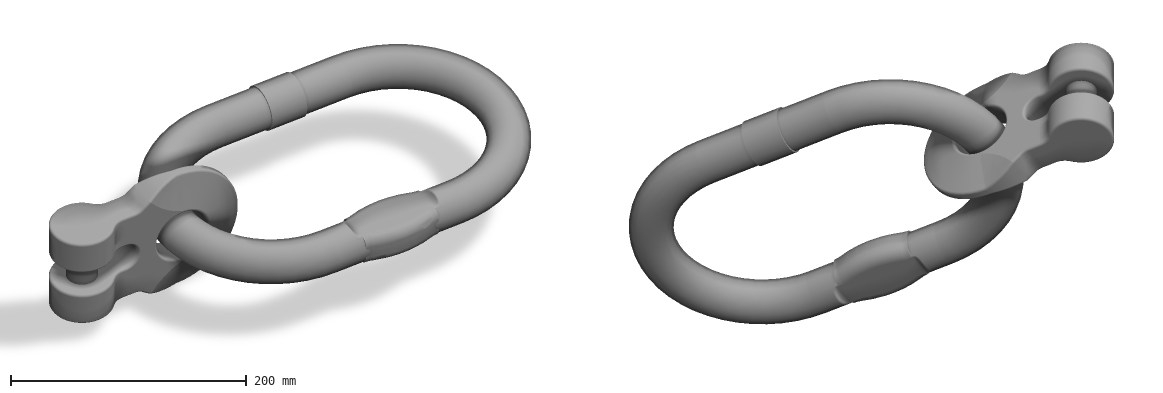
import cadquery as cq
import math

WIRE_DIAMETER = 38.0
WIRE_RADIUS = WIRE_DIAMETER / 2
BEND_RADIUS = 94.5
LEG_LENGTH = 125.0
SLEEVE_DIAMETER = 41.0
SLEEVE_LENGTH = 34.5

FLAT_THICKNESS = 29.5
FLAT_LENGTH = 83.5
FLAT_END_RADIUS = 4.5
FLAT_EDGE_RADIUS = 2.0
BULGE_WIDTH = 50.0
BULGE_LENGTH = 71.5
BULGE_OUTER_X = 119.0
BULGE_EDGE_RADIUS = 9.0
BULGE_BLEND_LENGTH = 5.5

PLATE_THICKNESS = 27.0
EYE_Y = -158.0
EYE_DIAMETER = 122.0
EYE_HOLE_DIAMETER = 50.0
TAPER_START_RADIUS = 27.5
RIM_THICKNESS = 8.0
RUNOUT_LENGTH = 37.0
RUNOUT_RADIUS = 70.3
FORK_HEIGHT = 89.0
FORK_SHOULDER_RADIUS = 12.0
FORK_GAP = 25.5
SLOT_END_Y = -201.5
HEAD_DIAMETER = 56.0
HEAD_FILLET_RADIUS = 15.0
EDGE_RADIUS = 2.3

PIN_Y = -249.5
PIN_DIAMETER = 27.0

TOLERANCE = 0.01


def make_ring():
    """Round wire swept around the closed oval centre line."""
    half_leg = LEG_LENGTH / 2
    path = (
        cq.Workplane("XY")
        .moveTo(BEND_RADIUS, -half_leg)
        .lineTo(BEND_RADIUS, half_leg)
        .threePointArc((0, half_leg + BEND_RADIUS), (-BEND_RADIUS, half_leg))
        .lineTo(-BEND_RADIUS, -half_leg)
        .threePointArc((0, -half_leg - BEND_RADIUS), (BEND_RADIUS, -half_leg))
        .close()
    )
    section = cq.Workplane("XZ", origin=(BEND_RADIUS, -half_leg, 0)).circle(WIRE_RADIUS)
    return section.sweep(path)


def make_sleeve():
    """Slightly thicker weld sleeve around the -X leg."""
    return (
        cq.Workplane("XZ", origin=(-BEND_RADIUS, SLEEVE_LENGTH / 2, 0))
        .circle(SLEEVE_DIAMETER / 2)
        .extrude(SLEEVE_LENGTH)
    )


def make_flat_cutter():
    """Blocks that press the +X leg flat above and below, with rounded floor ends."""
    block_height = WIRE_RADIUS
    block_width = 2 * WIRE_DIAMETER
    upper = (
        cq.Workplane("XY", origin=(BEND_RADIUS, 0, FLAT_THICKNESS / 2))
        .rect(block_width, FLAT_LENGTH)
        .extrude(block_height)
        .faces("<Z")
        .edges("|X")
        .fillet(FLAT_END_RADIUS)
    )
    return upper.union(upper.mirror("XY"))


def make_bulge():
    """Lens-shaped plate on the +X leg; concave arcs lead its sides back into the wire."""
    half_length = BULGE_LENGTH / 2
    side = BULGE_WIDTH / 2
    drop = side - WIRE_RADIUS
    radius_sum = (half_length**2 + drop**2) / (2 * drop)
    blend_radius = radius_sum * BULGE_BLEND_LENGTH / half_length
    arc_half_length = half_length - BULGE_BLEND_LENGTH
    arc_end_x = WIRE_RADIUS + drop * BULGE_BLEND_LENGTH / half_length
    return (
        cq.Workplane("XY", origin=(BULGE_OUTER_X - side, 0, -FLAT_THICKNESS / 2))
        .moveTo(WIRE_RADIUS, -half_length)
        .radiusArc((arc_end_x, -arc_half_length), blend_radius)
        .threePointArc((side, 0), (arc_end_x, arc_half_length))
        .radiusArc((WIRE_RADIUS, half_length), blend_radius)
        .lineTo(-WIRE_RADIUS, half_length)
        .radiusArc((-arc_end_x, arc_half_length), blend_radius)
        .threePointArc((-side, 0), (-arc_end_x, -arc_half_length))
        .radiusArc((-WIRE_RADIUS, -half_length), blend_radius)
        .close()
        .extrude(FLAT_THICKNESS)
        .faces("<Z or >Z")
        .edges("not(|X)")
        .fillet(BULGE_EDGE_RADIUS)
    )


def pressed_edges(wire):
    """Edges where the pressed flats and their end walls leave the round wire surface."""
    half_flat = FLAT_THICKNESS / 9
    chosen = []
    for edge in wire.edges().vals():
        center = edge.Center()
        on_flat = center.x > 0 and abs(center.y) < FLAT_LENGTH / 2 and abs(center.z) > half_flat - TOLERANCE
        across_floor = edge.geomType() == "LINE" and abs(edge.tangentAt(0).x) > 1 - TOLERANCE
        if on_flat and not across_floor:
            chosen.append(edge)
    return chosen


def make_link():
    """One solid: wire, weld sleeve, pressed flats and bulge."""
    wire = make_ring().union(make_sleeve()).cut(make_flat_cutter())
    wire = wire.newObject(pressed_edges(wire)).fillet(FLAT_EDGE_RADIUS)
    return wire.union(make_bulge())


def make_plate():
    """Side outline of eye and fork, extruded to the plate thickness."""
    eye_radius = EYE_DIAMETER / 2
    half_fork = FORK_HEIGHT / 2
    shoulder_z = half_fork + FORK_SHOULDER_RADIUS
    center_distance = eye_radius + FORK_SHOULDER_RADIUS
    shoulder_run = math.sqrt(center_distance**2 - shoulder_z**2)
    shoulder_y = EYE_Y - shoulder_run
    tangent_y = EYE_Y - shoulder_run * eye_radius / center_distance
    tangent_z = shoulder_z * eye_radius / center_distance
    turn = math.atan2(shoulder_run, shoulder_z) / 2
    middle_y = shoulder_y + FORK_SHOULDER_RADIUS * math.sin(turn)
    middle_z = shoulder_z - FORK_SHOULDER_RADIUS * math.cos(turn)
    return (
        cq.Workplane("YZ")
        .moveTo(PIN_Y, half_fork)
        .lineTo(shoulder_y, half_fork)
        .threePointArc((middle_y, middle_z), (tangent_y, tangent_z))
        .threePointArc((EYE_Y + eye_radius, 0), (tangent_y, -tangent_z))
        .threePointArc((middle_y, -middle_z), (shoulder_y, -half_fork))
        .lineTo(PIN_Y, -half_fork)
        .close()
        .extrude(PLATE_THICKNESS / 2, both=True)
    )


def make_taper_cutter():
    """Material removed on the +X side to thin the eye towards its rim."""
    half_plate = PLATE_THICKNESS / 2
    half_rim = RIM_THICKNESS / 2
    eye_radius = EYE_DIAMETER / 2
    run = eye_radius - TAPER_START_RADIUS
    drop = half_plate - half_rim
    over = 1.2
    cone = (
        cq.Workplane("XY", origin=(0, EYE_Y, 0))
        .moveTo(half_rim + over * drop, eye_radius - over * run)
        .lineTo(half_plate - over * drop, TAPER_START_RADIUS + over * run)
        .lineTo(half_rim + over * drop, TAPER_START_RADIUS + over * run)
        .close()
        .revolve(180, (0, 0, 0), (1, 0, 0))
        .rotate((0, EYE_Y, 0), (1, EYE_Y, 0), -90)
    )
    face_outline = (
        cq.Workplane("YZ", origin=(half_plate, EYE_Y, 0))
        .moveTo(0, TAPER_START_RADIUS)
        .radiusArc((-RUNOUT_LENGTH, eye_radius), RUNOUT_RADIUS)
        .lineTo(0, eye_radius)
        .close()
        .val()
    )
    rim_point = cq.Vertex.makeVertex(half_rim, EYE_Y, eye_radius)
    runout = cq.Workplane(obj=cq.occ_impl.shapes.loft(face_outline, rim_point, cap=True, ruled=True))
    return cone.union(runout).union(runout.mirror("XY"))


def make_heads():
    """Full-height round column for both fork heads, with concave fillets into the plate sides."""
    half_plate = PLATE_THICKNESS / 2
    head_radius = HEAD_DIAMETER / 2
    fillet_x = half_plate + HEAD_FILLET_RADIUS
    center_distance = head_radius + HEAD_FILLET_RADIUS
    fillet_run = math.sqrt(center_distance**2 - fillet_x**2)
    tangent_x = fillet_x * head_radius / center_distance
    tangent_y = fillet_run * head_radius / center_distance
    turn = math.atan2(fillet_run, fillet_x) / 2
    middle_x = fillet_x - HEAD_FILLET_RADIUS * math.cos(turn)
    middle_y = fillet_run - HEAD_FILLET_RADIUS * math.sin(turn)
    return (
        cq.Workplane("XY", origin=(0, PIN_Y, 0))
        .moveTo(half_plate, fillet_run)
        .threePointArc((middle_x, middle_y), (tangent_x, tangent_y))
        .threePointArc((0, -head_radius), (-tangent_x, tangent_y))
        .threePointArc((-middle_x, middle_y), (-half_plate, fillet_run))
        .close()
        .extrude(FORK_HEIGHT / 2, both=True)
    )


def make_slot():
    """Round-ended gap between the two fork arms."""
    end_radius = FORK_GAP / 2
    center_y = SLOT_END_Y - end_radius
    open_y = PIN_Y - HEAD_DIAMETER
    return (
        cq.Workplane("YZ")
        .moveTo(open_y, end_radius)
        .lineTo(center_y, end_radius)
        .threePointArc((SLOT_END_Y, 0), (center_y, -end_radius))
        .lineTo(open_y, -end_radius)
        .close()
        .extrude(HEAD_DIAMETER, both=True)
    )


def rounded_edges(clevis):
    """Outline edges of eye and fork: not corners along X or Z, pin holes or taper creases."""
    sharp_radii = (PIN_DIAMETER / 2, TAPER_START_RADIUS, RUNOUT_RADIUS)
    chosen = []
    for edge in clevis.edges().vals():
        kind = edge.geomType()
        if kind == "LINE":
            rounded = abs(edge.tangentAt(0).y) > 1 - TOLERANCE
        elif kind == "CIRCLE":
            rounded = all(abs(edge.radius() - radius) > TOLERANCE for radius in sharp_radii)
        else:
            rounded = True
        if rounded:
            chosen.append(edge)
    return chosen


def make_clevis():
    """One solid: tapered eye, fork arms and heads, with rounded edges."""
    taper = make_taper_cutter()
    eye_hole = (
        cq.Workplane("YZ", origin=(-PLATE_THICKNESS, EYE_Y, 0))
        .circle(EYE_HOLE_DIAMETER / 2)
        .extrude(2 * PLATE_THICKNESS)
    )
    clevis = make_plate().cut(taper).cut(taper.mirror("YZ")).union(make_heads())
    clevis = clevis.cut(make_slot()).cut(eye_hole).cut(make_pin())
    return clevis.newObject(rounded_edges(clevis)).fillet(EDGE_RADIUS)


def make_pin():
    """Plain cylinder, flush with both fork heads."""
    bottom = cq.Workplane("XY", origin=(0, PIN_Y, -FORK_HEIGHT / 2))
    return bottom.circle(PIN_DIAMETER / 2).extrude(FORK_HEIGHT)


link = make_link()
clevis = make_clevis()
pin = make_pin()
result = cq.Compound.makeCompound([*link.solids().vals(), *clevis.solids().vals(), pin.val()])